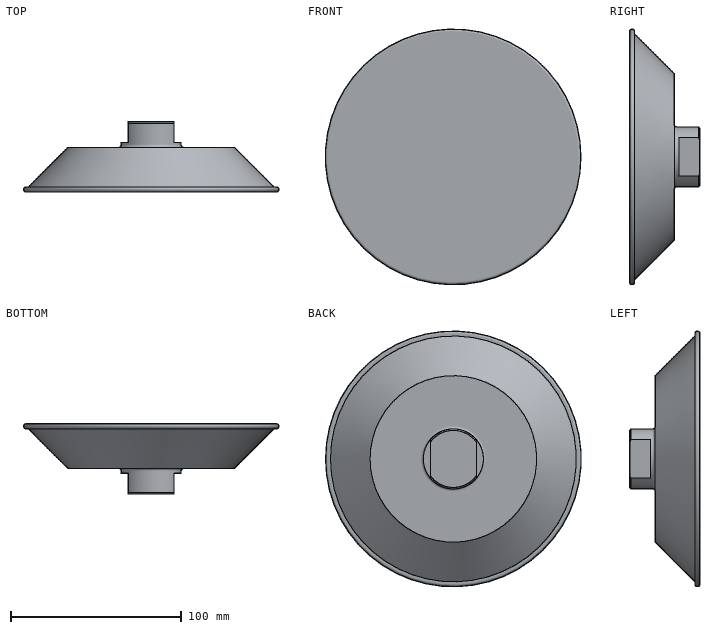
import cadquery as cq

disc_radius = 75.0
rim_thickness = 3.0
rim_round = rim_thickness / 2
cone_top_radius = 97.6 / 2
cone_top_y = 26.2
cone_base_radius = cone_top_radius + cone_top_y - rim_thickness

hub_radius = 35.2 / 2
hub_end_y = 41.2
hub_chamfer = 0.9
hub_fillet = 1.5
flat_spacing = 27.0
flat_length = 12.2


def make_revolved_body():
    """Revolve the half section of disc, cone and hub about the Y axis."""
    return (
        cq.Workplane("XY")
        .moveTo(0, 0)
        .lineTo(disc_radius - rim_round, 0)
        .threePointArc((disc_radius, rim_round), (disc_radius - rim_round, rim_thickness))
        .lineTo(cone_base_radius, rim_thickness)
        .lineTo(cone_top_radius, cone_top_y)
        .lineTo(hub_radius + hub_fillet, cone_top_y)
        .radiusArc((hub_radius, cone_top_y + hub_fillet), hub_fillet)
        .lineTo(hub_radius, hub_end_y - hub_chamfer)
        .lineTo(hub_radius - hub_chamfer, hub_end_y)
        .lineTo(0, hub_end_y)
        .close()
        .revolve(360, (0, 0, 0), (0, 1, 0))
    )


def make_flat_cutter(side):
    """Block that removes the hub beyond one flat; side is -1 or +1 along X."""
    hub_diameter = 2 * hub_radius
    center_x = side * (flat_spacing + hub_diameter) / 2
    center_y = hub_end_y - flat_length / 2
    return cq.Workplane("XY").box(hub_diameter, flat_length, hub_diameter).translate((center_x, center_y, 0))


result = make_revolved_body()
for side in (-1, 1):
    result = result.cut(make_flat_cutter(side))